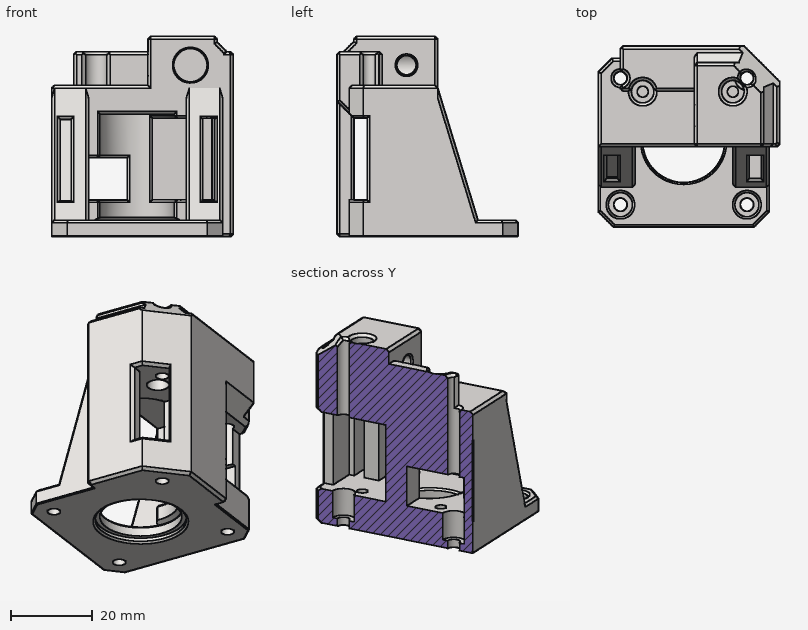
import cadquery as cq
import math


EDGE = 0.75
MOUTH = 0.65
BOTTOM_EDGE = 0.25
PAST = 60.0

PLATE_HALF = 21.0
PLATE_TOP = 4.1
PLATE_CORNER = 3.8
PLATE_EDGE = 0.6

BODY_FRONT = -1.35
BODY_LEFT = -PLATE_HALF
BODY_RIGHT = 23.6
BODY_BACK = 23.4
STEP_BACK = 20.4
BIG_CORNER = 8.8
STEP_CORNER = 3.4

SHOULDER_TOP = 37.2
BLOCK_TOP = 45.4
TOWER_TOP = 49.2

BLOCK_LEFT = -15.6
BLOCK_FRONT = 12.3

TOWER_LEFT = 2.6
TOWER_RIGHT = 19.65
TOWER_BACK = 19.3
SLOPE_FOOT = 44.0
SKIRT_TOP = 47.7
LEDGE = 1.65
SKIRT_RIGHT = BODY_RIGHT - LEDGE
SKIRT_BACK = BODY_BACK - LEDGE

SCREW = 15.5
SCREW_DIA = 3.2
SCREW_RIM_DIA = 4.6
SCREW_EDGE = (SCREW_RIM_DIA - SCREW_DIA) / 2
HEAD_DIA = 5.9
HEAD_SEAT = 2.1
HEAD_EDGE = 0.55
PILOT_DIA = 22.4
PILOT_DEPTH = 1.35
LIP_RADIUS = 10.05
LIP_EDGE = 0.5
BORE_RADIUS = 9.15
BORE_TOP = 30.1
BORE_FOOT = 4.8

IDLERS = ((-10.05, 12.2), (12.05, 12.2))
IDLER_DIA = 5.5
IDLER_TAP_DIA = 2.7
IDLER_TAP_END = 2.1

FLOOR = 9.1
LOW_CEILING = 19.35
HIGH_CEILING = 29.1
CHAMBER_FRONT = 4.0
CHAMBER_BACK = 19.2
BELT_FRONT = 16.0
RIGHT_EXIT_FRONT = 12.0
LEFT_MOUTH = -11.85
RIGHT_MOUTH = 12.0
PILLAR_LEFT = -2.45
PILLAR_RIGHT = 3.7
CHAMBER_HALF = 8.3

LEG_FOOT = -11.2
LEG_TOP = 36.45
LEGS = ((BODY_LEFT, LEFT_MOUTH), (RIGHT_MOUTH, PLATE_HALF))
POCKET_X = (-18.9, -16.2)
POCKET_Z = (9.1, 29.0)
POCKET_DEPTH = 1.05
SLOT_X = (16.05, 18.95)

ROD_X, ROD_Z, ROD_DIA = 13.05, 42.1, 8.15
ROD_END = 8.9
ROD_EDGE = 0.3
CROSS_Y, CROSS_Z, CROSS_DIA = 6.35, 42.1, 4.7
CROSS_EDGE = 0.4


def box(x0, x1, y0, y1, z0, z1):
    return cq.Workplane("XY").box(x1 - x0, y1 - y0, z1 - z0, centered=False).translate((x0, y0, z0))


def prism(points, z0, z1):
    return cq.Workplane("XY").workplane(offset=z0).polyline(points).close().extrude(z1 - z0)


def rod(x, y, z0, z1, radius):
    return cq.Workplane("XY").center(x, y).workplane(offset=z0).circle(radius).extrude(z1 - z0)


def cone(x, y, z0, z1, r0, r1):
    profile = [(0, z0), (r0, z0), (r1, z1), (0, z1)]
    return cq.Workplane("XZ").polyline(profile).close().revolve(360, (0, 0), (0, 1)).translate((x, y, 0))


def countersink(x, y, top, radius, edge):
    return cone(x, y, top - edge, top, radius, radius + edge)


def base_plate():
    plate = box(-PLATE_HALF, PLATE_HALF, -PLATE_HALF, CHAMBER_FRONT, 0, PLATE_TOP)
    plate = plate.edges("|Z and <Y").chamfer(PLATE_CORNER)
    plate = plate.faces(">Z").edges("not >Y").chamfer(PLATE_EDGE)
    return plate.faces("<Z").edges("not >Y").chamfer(BOTTOM_EDGE)


def left_half():
    half = prism(
        [
            (BODY_LEFT, BODY_FRONT),
            (TOWER_LEFT + EDGE, BODY_FRONT),
            (TOWER_LEFT + EDGE, STEP_BACK),
            (BODY_LEFT + STEP_CORNER, STEP_BACK),
            (BODY_LEFT, STEP_BACK - STEP_CORNER),
        ],
        0,
        SHOULDER_TOP,
    )
    half = half.faces(">Z").edges("not >X").chamfer(EDGE)
    half = half.faces("<Z").edges("not >X").edges("not <Y").chamfer(BOTTOM_EDGE)
    half = half.cut(countersink(-SCREW, SCREW, SHOULDER_TOP, SCREW_DIA / 2, SCREW_EDGE))
    return half.cut(countersink(*IDLERS[0], SHOULDER_TOP, IDLER_DIA / 2, EDGE))


def right_half():
    right = prism(
        [
            (TOWER_LEFT, BODY_FRONT),
            (BODY_RIGHT, BODY_FRONT),
            (BODY_RIGHT, BODY_BACK - BIG_CORNER),
            (BODY_RIGHT - BIG_CORNER, BODY_BACK),
            (TOWER_LEFT, BODY_BACK),
        ],
        0,
        BLOCK_TOP,
    )
    right = right.faces("<Y").edges("|Z").chamfer(EDGE)
    right = right.faces(">Z").edges("not <X").chamfer(EDGE)
    right = right.faces("<Z").edges("not <X").chamfer(EDGE)
    wall = box(PILLAR_LEFT, TOWER_LEFT + EDGE, CHAMBER_BACK, BODY_BACK, 0, SHOULDER_TOP)
    wall = wall.edges("(|Z and <X and >Y) or (<Z and >Y) or (<Z and <X)").chamfer(EDGE)
    return right.union(wall)


def left_exit(x_end):
    """Belt exit on the left, reaching in to x_end. Behind the belt its ceiling rises at 45 degrees."""
    open_back = BODY_BACK + EDGE
    profile = [
        (BELT_FRONT, FLOOR),
        (open_back, FLOOR),
        (open_back, HIGH_CEILING + open_back - CHAMBER_BACK),
        (CHAMBER_BACK, HIGH_CEILING),
        (BELT_FRONT, HIGH_CEILING),
    ]
    return cq.Workplane("YZ").workplane(offset=x_end).polyline(profile).close().extrude(-PAST)


def back_block():
    block = box(BLOCK_LEFT, TOWER_LEFT + EDGE, BLOCK_FRONT, BODY_BACK, HIGH_CEILING, BLOCK_TOP)
    idler_x, idler_y = IDLERS[0]
    block = block.cut(rod(-SCREW, SCREW, 0, PAST, SCREW_DIA / 2))
    block = block.cut(rod(idler_x, idler_y, 0, PAST, IDLER_DIA / 2))
    block = block.faces(">Z").edges("not >X").chamfer(EDGE)
    block = block.edges("|Z and (not >X)").chamfer(EDGE)
    return block.cut(left_exit(TOWER_LEFT))


def tower():
    core = box(TOWER_LEFT, TOWER_RIGHT, BODY_FRONT, TOWER_BACK, BLOCK_TOP - EDGE, TOWER_TOP)
    core = core.edges("|Z or >Z").chamfer(EDGE)
    skirt = box(TOWER_LEFT, SKIRT_RIGHT, BODY_FRONT, SKIRT_BACK, BLOCK_TOP - EDGE, SKIRT_TOP)
    skirt = skirt.faces(">Z").edges(">X or >Y").chamfer(SKIRT_TOP - BLOCK_TOP)
    skirt = skirt.faces("<Y").edges("not (<Z or >Z)").chamfer(EDGE)
    skirt = skirt.faces("<X").edges("not (<Y or <Z or >Z or |Z)").chamfer(EDGE)
    return core.union(skirt)


def outside_corner_slope():
    """The space outside the 45 degree plane that slopes off the back right corner."""
    edge_distance = (BODY_RIGHT + BODY_BACK - BIG_CORNER) / math.sqrt(2)
    top_distance = edge_distance - (TOWER_TOP - SLOPE_FOOT)
    space = (
        cq.Workplane("XZ")
        .polyline(
            [
                (edge_distance, SLOPE_FOOT),
                (PAST, SLOPE_FOOT),
                (PAST, TOWER_TOP + EDGE),
                (top_distance - EDGE, TOWER_TOP + EDGE),
            ]
        )
        .close()
        .extrude(PAST, both=True)
    )
    return space.rotate((0, 0, 0), (0, 0, 1), 45)


def chambers():
    """Both idler chambers with their front mouths and belt passages."""
    left_x = IDLERS[0][0]
    right_x = IDLERS[1][0]
    left = box(left_x - CHAMBER_HALF, PILLAR_LEFT, CHAMBER_FRONT, BODY_BACK, FLOOR, LOW_CEILING)
    left = left.union(box(LEFT_MOUTH, PILLAR_LEFT, BODY_FRONT, BODY_BACK, FLOOR, LOW_CEILING))
    right = box(PILLAR_RIGHT, right_x + CHAMBER_HALF, CHAMBER_FRONT, CHAMBER_BACK, FLOOR, HIGH_CEILING)
    right = right.union(box(PILLAR_RIGHT, RIGHT_MOUTH, BODY_FRONT, CHAMBER_BACK, FLOOR, HIGH_CEILING))
    right = right.union(box(PILLAR_RIGHT, PAST, RIGHT_EXIT_FRONT, CHAMBER_BACK, FLOOR, HIGH_CEILING))
    passage = box(PILLAR_LEFT, PAST, BELT_FRONT, CHAMBER_BACK, FLOOR, HIGH_CEILING)
    return left.union(right).union(passage).union(left_exit(PILLAR_LEFT))


def edges_inside(part, low, high):
    return part.edges(cq.selectors.BoxSelector(low, high))


def break_mouths(part):
    """Chamfer the bore and both chambers where they open to the front and into the bore."""
    mouths = edges_inside(
        part,
        (LEFT_MOUTH + EDGE, BODY_FRONT - EDGE, EDGE),
        (RIGHT_MOUTH - EDGE, BORE_RADIUS, BORE_TOP + EDGE),
    )

    def is_opening(edge):
        middle = edge.Center()
        inner_ceiling = middle.z > BORE_TOP - EDGE / 2 and middle.y > BODY_FRONT + EDGE
        return not inner_ceiling

    return mouths.filter(is_opening).chamfer(MOUTH)


def break_exits(part):
    """Chamfer the edges of the two belt exits and of the back wall's end between them."""
    low = FLOOR - EDGE
    high = HIGH_CEILING + EDGE

    def is_outer_left(edge):
        middle = edge.Center()
        return middle.x < BODY_LEFT + MOUTH / 2 or middle.y > BELT_FRONT + MOUTH / 2

    left = edges_inside(
        part,
        (BODY_LEFT - EDGE, BELT_FRONT - EDGE, low),
        (BODY_LEFT + STEP_CORNER - EDGE, STEP_BACK - EDGE, high),
    )
    part = left.filter(is_outer_left).chamfer(MOUTH)
    block_side = edges_inside(
        part,
        (BLOCK_LEFT - MOUTH, STEP_BACK + MOUTH, HIGH_CEILING),
        (BLOCK_LEFT + MOUTH / 4, BODY_BACK, HIGH_CEILING + BODY_BACK - CHAMBER_BACK),
    )
    part = block_side.edges("not |Z").chamfer(MOUTH)
    wall_end = edges_inside(
        part,
        (PILLAR_LEFT - MOUTH / 2, CHAMBER_BACK - MOUTH / 2, FLOOR),
        (PILLAR_LEFT + MOUTH / 2, CHAMBER_BACK + MOUTH / 2, HIGH_CEILING - EDGE),
    )
    part = wall_end.edges("|Z").chamfer(MOUTH)
    corner_sum = BODY_RIGHT + BODY_BACK - BIG_CORNER

    def is_outer_right(edge):
        middle = edge.Center()
        return middle.x > BODY_RIGHT - MOUTH / 2 or middle.x + middle.y > corner_sum - MOUTH / 2

    right = edges_inside(
        part,
        (RIGHT_MOUTH, RIGHT_EXIT_FRONT - MOUTH, low),
        (BODY_RIGHT + MOUTH, CHAMBER_BACK + MOUTH, high),
    )
    return right.filter(is_outer_right).chamfer(EDGE)


def cut_rear_right_screw(part):
    """Screw hole on the tower's sloping corner, with a chamfered rim."""
    part = part.cut(rod(SCREW, SCREW, FLOOR, PAST, SCREW_DIA / 2))
    rim = edges_inside(
        part,
        (SCREW - SCREW_DIA, SCREW - SCREW_DIA, SKIRT_TOP - EDGE),
        (SCREW + SCREW_DIA, SCREW + SCREW_DIA, TOWER_TOP + EDGE),
    )
    return rim.filter(lambda edge: edge.geomType() != "LINE").chamfer(SCREW_EDGE)


def housing():
    part = left_half().union(right_half()).union(back_block()).union(tower()).cut(outside_corner_slope())
    part = part.cut(rod(0, 0, 0, BORE_TOP, BORE_RADIUS))
    part = part.cut(chambers())
    part = break_mouths(part)
    part = break_exits(part)
    return cut_rear_right_screw(part)


def slanted_plane(x_middle):
    """Plane on a leg's slanted front: local x runs along X, local y up the slope."""
    return cq.Plane(
        origin=(x_middle, LEG_FOOT, PLATE_TOP),
        xDir=(1, 0, 0),
        normal=(0, -(LEG_TOP - PLATE_TOP), BODY_FRONT - LEG_FOOT),
    )


def leg(x0, x1):
    profile = [
        (LEG_FOOT, PLATE_TOP),
        (LEG_FOOT, PLATE_TOP - EDGE),
        (BODY_FRONT, PLATE_TOP - EDGE),
        (BODY_FRONT, LEG_TOP),
    ]
    part = cq.Workplane("YZ").workplane(offset=x0).polyline(profile).close().extrude(x1 - x0)
    slope_middle = ((LEG_FOOT + BODY_FRONT) / 2, (PLATE_TOP + LEG_TOP) / 2)
    slope_edges = edges_inside(
        part,
        (x0 - EDGE, slope_middle[0] - EDGE, slope_middle[1] - EDGE),
        (x1 + EDGE, slope_middle[0] + EDGE, slope_middle[1] + EDGE),
    )
    return slope_edges.chamfer(EDGE)


def slope_mouth(x_range, depth):
    """Rectangular recess into a leg's slanted front with a chamfered mouth."""
    width = x_range[1] - x_range[0]
    run = math.hypot(LEG_TOP - PLATE_TOP, BODY_FRONT - LEG_FOOT)
    per_height = run / (LEG_TOP - PLATE_TOP)
    height = (POCKET_Z[1] - POCKET_Z[0]) * per_height
    middle = ((POCKET_Z[0] + POCKET_Z[1]) / 2 - PLATE_TOP) * per_height
    face = cq.Workplane(slanted_plane(sum(x_range) / 2)).center(0, middle)
    funnel = (
        face.rect(width + 2 * MOUTH, height + 2 * MOUTH)
        .workplane(offset=-MOUTH)
        .rect(width, height)
        .loft()
    )
    return funnel.union(face.rect(width, height).extrude(-depth))


def leg_recesses():
    pocket = slope_mouth(POCKET_X, POCKET_DEPTH)
    slot = slope_mouth(SLOT_X, MOUTH)
    slot = slot.union(box(*SLOT_X, LEG_FOOT, CHAMBER_FRONT + EDGE, FLOOR, HIGH_CEILING))
    return pocket.union(slot)


def motor_seat():
    """Pilot recess, lip and the flare that leads into the bore above the plate."""
    rim = LIP_RADIUS + LIP_EDGE
    pilot = PILOT_DIA / 2
    seat = rod(0, 0, 0, PILOT_DEPTH, pilot)
    seat = seat.union(cone(0, 0, 0, LIP_EDGE, pilot + LIP_EDGE, pilot))
    seat = seat.union(rod(0, 0, 0, PLATE_TOP, LIP_RADIUS))
    seat = seat.union(cone(0, 0, PLATE_TOP - LIP_EDGE, PLATE_TOP, LIP_RADIUS, rim))
    return seat.union(cone(0, 0, PLATE_TOP, BORE_FOOT, rim, BORE_RADIUS))


def screw_holes():
    """Four motor screws. The front heads sit in the plate, the rear heads in the chamber floor."""
    holes = rod(-SCREW, SCREW, FLOOR, PAST, SCREW_DIA / 2)
    for x in (-SCREW, SCREW):
        for y, top in ((-SCREW, PLATE_TOP), (SCREW, FLOOR)):
            holes = holes.union(rod(x, y, 0, PLATE_TOP, SCREW_DIA / 2))
            holes = holes.union(rod(x, y, HEAD_SEAT, top, HEAD_DIA / 2))
        holes = holes.union(countersink(x, -SCREW, PLATE_TOP, HEAD_DIA / 2, HEAD_EDGE))
    return holes


def idler_holes():
    holes = countersink(*IDLERS[1], TOWER_TOP, IDLER_DIA / 2, EDGE)
    for x, y in IDLERS:
        holes = holes.union(rod(x, y, FLOOR, PAST, IDLER_DIA / 2))
        holes = holes.union(rod(x, y, IDLER_TAP_END, FLOOR, IDLER_TAP_DIA / 2))
    return holes


def tensioner_holes():
    rod_hole = cone(0, 0, -ROD_EDGE, 0, ROD_DIA / 2, ROD_DIA / 2 + ROD_EDGE)
    rod_hole = rod_hole.union(rod(0, 0, BODY_FRONT - ROD_END, 0, ROD_DIA / 2))
    rod_hole = rod_hole.rotate((0, 0, 0), (1, 0, 0), 90).translate((ROD_X, BODY_FRONT, ROD_Z))
    cross = cone(0, 0, -CROSS_EDGE, 0, CROSS_DIA / 2, CROSS_DIA / 2 + CROSS_EDGE)
    cross = cross.union(rod(0, 0, TOWER_LEFT - ROD_X, 0, CROSS_DIA / 2))
    cross = cross.rotate((0, 0, 0), (0, 1, 0), -90).translate((TOWER_LEFT, CROSS_Y, CROSS_Z))
    return rod_hole.union(cross)


result = housing().union(base_plate())
for leg_left, leg_right in LEGS:
    result = result.union(leg(leg_left, leg_right))
for cutter in (leg_recesses, motor_seat, screw_holes, idler_holes, tensioner_holes):
    result = result.cut(cutter())